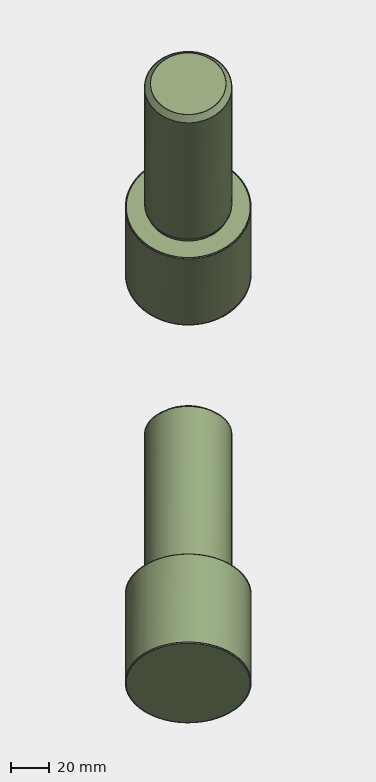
import cadquery as cq

total_height = 170.0
head_diameter = 65.0
head_height = 60.0
head_edge_chamfer = 0.5
neck_diameter = 43.0
neck_height = 3.0
shank_diameter = 45.0
shank_tip_chamfer = 3.0

shank_base = head_height + neck_height
shank_length = total_height - shank_base


def cylinder(diameter, height, base):
    """Vertical cylinder on the Z axis, standing at the given height."""
    return cq.Workplane("XY").workplane(offset=base).circle(diameter / 2).extrude(height)


head = cylinder(head_diameter, head_height, 0).edges().chamfer(head_edge_chamfer)

neck = cylinder(neck_diameter, neck_height, head_height)

shank = cylinder(shank_diameter, shank_length, shank_base).faces(">Z").edges().chamfer(shank_tip_chamfer)

result = head.union(neck).union(shank)